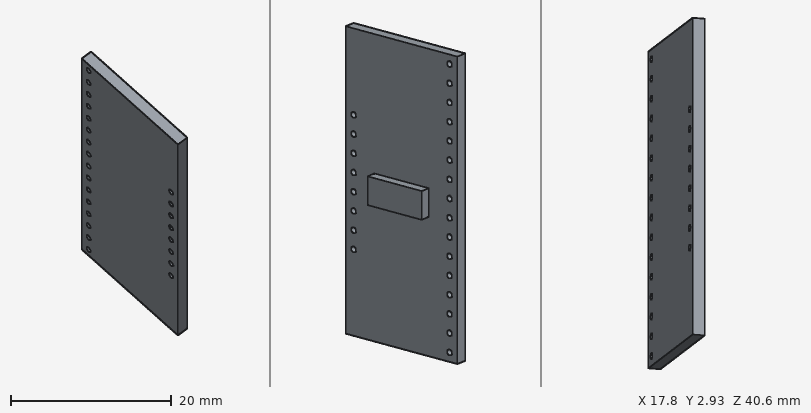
import cadquery as cq

pitch = 2.54
board_width = 7 * pitch
board_height = 16 * pitch
board_thickness = 1.575

hole_diameter = 0.762
edge_margin = pitch / 2
left_hole_count = 16
right_hole_count = 8
right_first_row = 4

total_depth = 2.93
block_width = 8.6
block_height = 3.8
block_depth = total_depth - board_thickness


def box_from_corner(width, depth, height, corner):
    """Box whose minimum X, Y and Z corner is at the given point."""
    return cq.Workplane("XY").box(width, depth, height, centered=False).translate(corner)


def hole_column(x, first_row, count):
    """Centres of a vertical run of holes, as (X, Z) points from the top down."""
    top_row_z = board_height - edge_margin
    return [(x, top_row_z - row * pitch) for row in range(first_row, first_row + count)]


def pin_holes():
    """Cylinders to remove for both columns of through holes."""
    left = hole_column(edge_margin, 0, left_hole_count)
    right = hole_column(board_width - edge_margin, right_first_row, right_hole_count)
    return cq.Workplane("XZ").pushPoints(left + right).circle(hole_diameter / 2).extrude(-board_thickness)


def component_block():
    """Plain block centred on the back face of the board."""
    block_left = (board_width - block_width) / 2
    block_bottom = (board_height - block_height) / 2
    corner = (block_left, board_thickness, block_bottom)
    return box_from_corner(block_width, block_depth, block_height, corner)


board = box_from_corner(board_width, board_thickness, board_height, (0, 0, 0))
result = board.cut(pin_holes()).union(component_block())